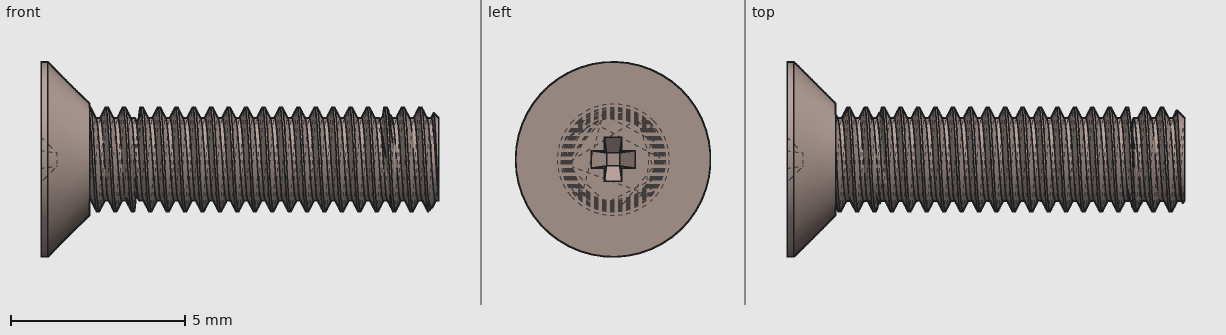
import cadquery as cq

LENGTH = 11.4

HEAD_DIAMETER = 5.6
RIM_THICKNESS = 0.19
HEAD_HEIGHT = 1.39

MAJOR_DIAMETER = 3.0
ROOT_DIAMETER = 2.38
PITCH = MAJOR_DIAMETER / 6
CREST_WIDTH = PITCH / 8
RIDGE_BASE_WIDTH = PITCH * 3 / 4
FIRST_TURN_X = 0.88
ROOT_OVERLAP = 0.03
RUN_PAST_END = 2 * PITCH

ARM_SPAN = 1.27
ARM_WIDTH = 0.5
RECESS_FLOOR = 0.38
RECESS_DEPTH = (ARM_SPAN - RECESS_FLOOR) / 2


def make_head():
    """Thin cylindrical rim followed by a 90 degree countersink cone."""
    rim_radius = HEAD_DIAMETER / 2
    neck_radius = rim_radius - (HEAD_HEIGHT - RIM_THICKNESS)
    profile = [
        (0, 0),
        (0, rim_radius),
        (RIM_THICKNESS, rim_radius),
        (HEAD_HEIGHT, neck_radius),
        (HEAD_HEIGHT, 0),
    ]
    return cq.Workplane("XY").polyline(profile).close().revolve(360, (0, 0, 0), (1, 0, 0))


def make_core():
    """Plain shank at the root diameter."""
    return cq.Workplane("YZ").circle(ROOT_DIAMETER / 2).extrude(LENGTH)


def make_thread_envelope():
    """Shank volume with a 45 degree point that trims the last turn."""
    start = HEAD_HEIGHT / 2
    point_height = (MAJOR_DIAMETER - ROOT_DIAMETER) / 2
    return (
        cq.Workplane("YZ", origin=(start, 0, 0))
        .circle(MAJOR_DIAMETER / 2 + ROOT_OVERLAP)
        .extrude(LENGTH - start)
        .faces(">X")
        .chamfer(point_height + ROOT_OVERLAP)
    )


def make_thread():
    """Right-handed helical ridge, trimmed to the shank envelope."""
    root_radius = ROOT_DIAMETER / 2
    major_radius = MAJOR_DIAMETER / 2
    flank_slope = (RIDGE_BASE_WIDTH - CREST_WIDTH) / 2 / (major_radius - root_radius)
    half_crest = CREST_WIDTH / 2
    half_base = RIDGE_BASE_WIDTH / 2 + ROOT_OVERLAP * flank_slope
    inner_radius = root_radius - ROOT_OVERLAP
    run = LENGTH + RUN_PAST_END - FIRST_TURN_X

    path = cq.Wire.makeHelix(PITCH, run, root_radius)
    ridge = (
        cq.Workplane("XZ")
        .moveTo(inner_radius, -half_base)
        .lineTo(major_radius, -half_crest)
        .lineTo(major_radius, half_crest)
        .lineTo(inner_radius, half_base)
        .close()
        .sweep(cq.Workplane(obj=path), isFrenet=True)
        .rotate((0, 0, 0), (0, 0, 1), 180)
        .rotate((0, 0, 0), (0, 1, 0), 90)
        .translate((FIRST_TURN_X, 0, 0))
    )
    return ridge.intersect(make_thread_envelope())


def make_recess_arm(span_y, span_z):
    """One bar of the cross, tapering to the square floor."""
    return (
        cq.Workplane("YZ")
        .rect(span_y, span_z)
        .workplane(offset=RECESS_DEPTH)
        .rect(RECESS_FLOOR, RECESS_FLOOR)
        .loft(ruled=True)
    )


body = make_core().union(make_thread()).union(make_head())
for arm_spans in ((ARM_SPAN, ARM_WIDTH), (ARM_WIDTH, ARM_SPAN)):
    body = body.cut(make_recess_arm(*arm_spans))
result = body